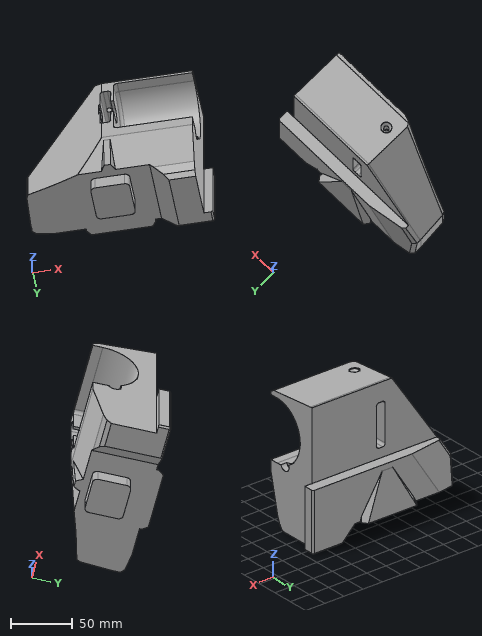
import cadquery as cq
length = 150.6
height = 129.4
depth = 70.8

floor_z = 14.8
knee_z = 41.5
plate_top = 59.7
bore_z = 90.0

body_right = 143.3
slope_top_x = 59.4
back_y = 53.6
draft_y = 51.8
front_left = 68.1
roof_front = (3.9, 125.2)
front_top = 122.8
skirt_top = 49.7
left_wall_end = (1.7, 24.7)
left_bevel_end = (3.3, 21.2)
hollow_mid = (33.5, 12.7)

skirt_points = [(8.9, 11.7), (11.9, 3.9), (15.5, 0)]
skirt_start_x = 106.4

plate_back = 64.2
edge_chamfer = 1.5

wedge_left = 43.7
wedge_right = 101.4
wedge_side_y = 66.1
wedge_side_lean = 0.35
wedge_corner = 3.5
wedge_top_z = 54.1
wedge_top_left = 67.2
wedge_top_right = 78.2

foot_x = (56.0, 88.3)
foot_y = (14.3, 46.4)
foot_z = 2.0
foot_radius = 3.9

rib_x = 72.3
rib_half_width = 2.7
rib_side_slope = 0.53
rib_root_y = 12.0
rib_bottom_y = 2.4
rib_top_y = 0.8
rib_top_z = 46.7

bore_radius = 29.8
bore_y = 8.5
bore_start = 78.0
bore_fillet = 3.0
shaft_radius = 7.2
shaft_end_radius = 5.3
shaft_end_x = 65.4

slot_x = (66.6, 75.6)
slot_z = (69.1, 111.0)
slot_corner = 2.7

notch_length = 6.0
notch_radius = 5.4
notch_y = 18.5
notch_z = 62.2

screw_y = 19.3
screw_radius = 2.1
sink_radius = 4.5
sink_recess = 1.2

big = 451.9
margin = 15.0
inner_point = cq.Vector(90.4, 45.2, 30.1)


def box(x, y, z):
    """Box from three (low, high) pairs."""
    return cq.Workplane("XY").box(
        x[1] - x[0], y[1] - y[0], z[1] - z[0], centered=False
    ).translate((x[0], y[0], z[0]))


def along_x(points, start, end):
    """Solid with a (Y, Z) outline, running from start to end in X."""
    return cq.Workplane("YZ", origin=(start, 0, 0)).polyline(points).close().extrude(end - start)


def trim(solid, a, b, c):
    """Remove what lies beyond the plane through three points, seen from inside the part."""
    a, b, c = cq.Vector(*a), cq.Vector(*b), cq.Vector(*c)
    normal = (b - a).cross(c - a)
    if normal.dot(inner_point - a) > 0:
        normal = normal * -1
    plane = cq.Plane(origin=a.toTuple(), xDir=(b - a).toTuple(), normal=normal.toTuple())
    return solid.cut(cq.Workplane(plane).rect(big, big).extrude(big))


def open_bore(radius, start, end):
    """Round bore along X whose full width is open to the front."""
    return (
        cq.Workplane("YZ", origin=(start, 0, 0))
        .moveTo(-margin, bore_z - radius)
        .lineTo(bore_y, bore_z - radius)
        .threePointArc((bore_y + radius, bore_z), (bore_y, bore_z + radius))
        .lineTo(-margin, bore_z + radius)
        .close()
        .extrude(end - start)
    )


def upper_body():
    plan = (
        cq.Workplane("XY")
        .moveTo(0, back_y)
        .lineTo(0, draft_y)
        .lineTo(*left_wall_end)
        .lineTo(*left_bevel_end)
        .threePointArc(hollow_mid, (front_left, 0))
        .lineTo(body_right, 0)
        .lineTo(body_right, back_y)
        .close()
        .extrude(height)
    )
    section = [(back_y, 0), (back_y, height), (draft_y, height), roof_front, (0, front_top), (0, skirt_top)]
    return plan.intersect(along_x(section + skirt_points, 0, length))


def back_plate():
    plate = box((0, length), (back_y, plate_back), (0, plate_top))
    plate = plate.edges(">X and >Y").chamfer(edge_chamfer)
    return plate.edges("<Z and >Y").chamfer(edge_chamfer)


def side_silhouette():
    """The body's outline seen along Y, as a solid."""
    return (
        cq.Workplane("XZ")
        .polyline([
            (0, floor_z),
            (0, knee_z),
            (slope_top_x, height),
            (length, height),
            (length, edge_chamfer),
            (length - edge_chamfer, 0),
            (skirt_start_x + floor_z, 0),
            (skirt_start_x, floor_z),
        ])
        .close()
        .extrude(-depth)
    )


def trim_slanted_wall(solid):
    """Draft the slanted wall and bevel its front and back edges."""
    knee_front = (*left_wall_end, knee_z)
    solid = trim(solid, (slope_top_x, draft_y, height), (slope_top_x, *roof_front), knee_front)
    solid = trim(solid, knee_front, (slope_top_x, 6.6, 125.5), (61.8, 2.7, 124.6))
    solid = trim(solid, (3.3, 59.2, knee_z), (14.0, 59.0, plate_top), (46.1, 64.0, plate_top))
    solid = trim(solid, (0, 58.7, floor_z), (3.3, 61.9, floor_z), (0, 56.2, knee_z))
    return trim(solid, (0, 56.2, knee_z), (3.3, 59.2, knee_z), (14.6, 59.0, plate_top))


def back_wedge():
    outline = [(back_y, floor_z), (depth, floor_z), (plate_back, wedge_top_z), (back_y, wedge_top_z)]
    wedge = along_x(outline, wedge_left, wedge_right)
    lean = wedge_side_lean * (wedge_top_z - floor_z)
    sides = [(wedge_left, wedge_top_left, 1), (wedge_right, wedge_top_right, -1)]
    for side_x, top_x, inward in sides:
        corner = (side_x + inward * wedge_corner, depth, floor_z)
        side_end = (side_x, wedge_side_y, floor_z)
        side_root = (side_x, plate_back, floor_z)
        top = (top_x, plate_back, wedge_top_z)
        wedge = trim(wedge, corner, side_end, top)
        wedge = trim(wedge, side_root, side_end, (side_x + inward * lean, plate_back, wedge_top_z))
    return wedge


def foot():
    return box(foot_x, foot_y, (foot_z, floor_z)).edges("|Z").fillet(foot_radius)


def rib_section(front_y):
    root_half = rib_half_width + rib_side_slope * (rib_root_y - front_y)
    return [
        (rib_x - rib_half_width, front_y),
        (rib_x + rib_half_width, front_y),
        (rib_x + root_half, rib_root_y),
        (rib_x - root_half, rib_root_y),
    ]


def front_rib():
    return (
        cq.Workplane("XY", origin=(0, 0, floor_z))
        .polyline(rib_section(rib_bottom_y))
        .close()
        .workplane(offset=rib_top_z - floor_z)
        .polyline(rib_section(rib_top_y))
        .close()
        .loft(ruled=True)
    )


def bore_notch():
    start = body_right - notch_length
    return cq.Workplane("YZ", origin=(start, notch_y, notch_z)).circle(notch_radius).extrude(notch_length)


def screw_hole():
    """Countersunk hole from the roof down into the slot."""
    screw_x = sum(slot_x) / 2
    run = (screw_y - roof_front[0]) / (draft_y - roof_front[0])
    roof_z = roof_front[1] + run * (height - roof_front[1])
    recess_z = roof_z - sink_recess
    cone_depth = sink_radius - screw_radius
    sink = cq.Solid.makeCone(
        screw_radius, sink_radius, cone_depth, pnt=cq.Vector(screw_x, screw_y, recess_z - cone_depth)
    )
    mouth = cq.Workplane("XY", origin=(screw_x, screw_y, recess_z)).circle(sink_radius).extrude(margin)
    shank = (
        cq.Workplane("XY", origin=(screw_x, screw_y, bore_z))
        .circle(screw_radius)
        .extrude(height - bore_z)
    )
    return shank.union(mouth).union(cq.Workplane(sink))


body = upper_body().union(back_plate()).intersect(side_silhouette())
body = trim_slanted_wall(body)
body = body.union(back_wedge()).union(foot()).union(front_rib())

motor_bore = open_bore(bore_radius, bore_start, body_right).faces("<X").edges().fillet(bore_fillet)
shaft_slot = open_bore(shaft_radius, slot_x[0], bore_start + bore_fillet)
shaft_end = open_bore(shaft_end_radius, shaft_end_x, slot_x[1])
through_slot = box(slot_x, (-margin, depth + margin), slot_z).edges("|Y").fillet(slot_corner)

result = (
    body.cut(motor_bore)
    .cut(shaft_slot)
    .cut(shaft_end)
    .cut(through_slot)
    .cut(bore_notch())
    .cut(screw_hole())
)